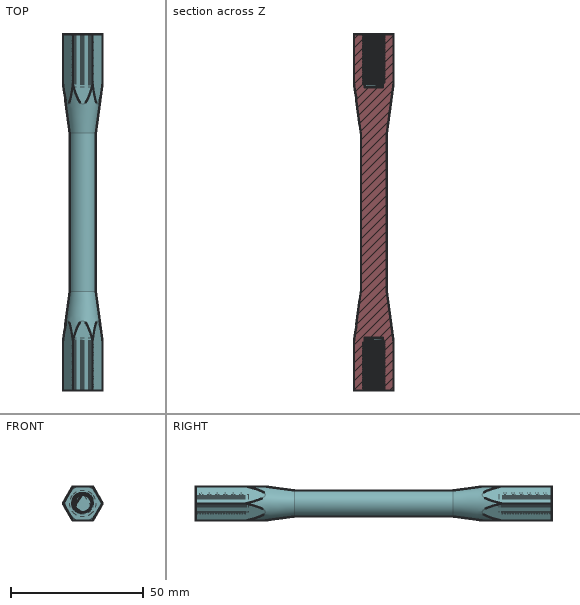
import cadquery as cq
import math

total_length = 135.0
across_flats = 13.0
across_corners = across_flats / math.cos(math.radians(30))

shaft_length = 60.0
shaft_diameter = 10.0
hex_length = 19.0

thread_diameter = 8.0
thread_pitch = 1.0
thread_start_angle = 180.0
bore_diameter = 6.65
bore_depth = 20.0
groove_root_width = thread_pitch / 8
groove_mouth_width = thread_pitch * 3 / 4
groove_overlap = 0.1
thread_lead_in = thread_pitch
thread_runout = thread_pitch


def make_body():
    """Hexagonal bar turned down to a round shaft with a cone at each end."""
    half_length = total_length / 2
    half_shaft = shaft_length / 2
    hex_start = half_length - hex_length
    corner_radius = across_corners / 2
    shaft_radius = shaft_diameter / 2

    bar = (
        cq.Workplane("XZ")
        .polygon(6, across_corners)
        .extrude(half_length, both=True)
    )
    turned_envelope = (
        cq.Workplane("XY")
        .moveTo(0, -half_length)
        .lineTo(corner_radius, -half_length)
        .lineTo(corner_radius, -hex_start)
        .lineTo(shaft_radius, -half_shaft)
        .lineTo(shaft_radius, half_shaft)
        .lineTo(corner_radius, hex_start)
        .lineTo(corner_radius, half_length)
        .lineTo(0, half_length)
        .close()
        .revolve(360, (0, 0, 0), (0, 1, 0))
    )
    return bar.intersect(turned_envelope)


def make_bore():
    """Blind bore running up Z from the end face at Z = 0."""
    return cq.Workplane("XY").circle(bore_diameter / 2).extrude(bore_depth)


def make_thread_groove():
    """Right-hand helical V groove with a flat root, around the bore along Z."""
    bore_radius = bore_diameter / 2
    root_radius = thread_diameter / 2
    inner_radius = bore_radius - groove_overlap
    helix_length = thread_lead_in + bore_depth - thread_runout
    helix = cq.Wire.makeHelix(thread_pitch, helix_length, bore_radius)
    groove = (
        cq.Workplane("XZ")
        .moveTo(inner_radius, -groove_mouth_width / 2)
        .lineTo(root_radius, -groove_root_width / 2)
        .lineTo(root_radius, groove_root_width / 2)
        .lineTo(inner_radius, groove_mouth_width / 2)
        .close()
        .sweep(cq.Workplane(helix), isFrenet=True)
    )
    groove = groove.rotate((0, 0, 0), (0, 0, 1), thread_start_angle)
    return groove.translate((0, 0, -thread_lead_in))


def place_at_front_end(cutter):
    """Turn a Z-directed cutter so that it enters the -Y end face."""
    return cutter.rotate((0, 0, 0), (1, 0, 0), -90).translate((0, -total_length / 2, 0))


def cut_threaded_holes(body):
    """Cut the same threaded hole into both ends."""
    for cutter in (make_bore(), make_thread_groove()):
        front_cutter = place_at_front_end(cutter)
        back_cutter = front_cutter.rotate((0, 0, 0), (0, 0, 1), 180)
        body = body.cut(front_cutter).cut(back_cutter)
    return body


result = cut_threaded_holes(make_body())